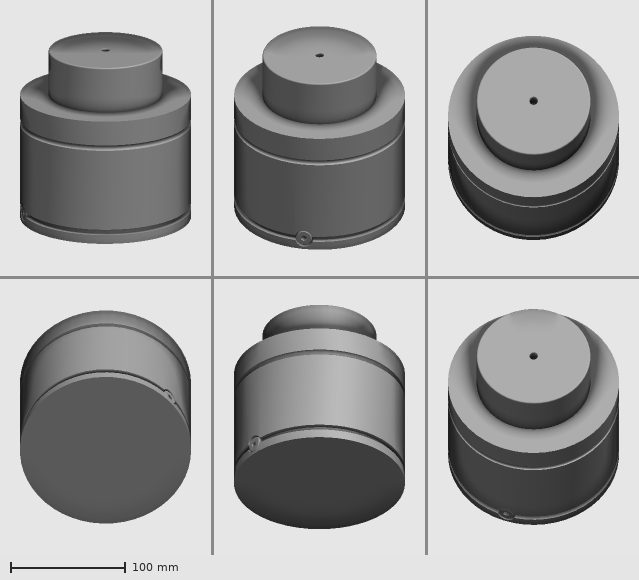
import cadquery as cq
import math

TOTAL_HEIGHT = 154.0
BODY_DIAMETER = 150.0
BODY_HEIGHT = 113.0
ROD_DIAMETER = 100.0
ROD_EDGE_RADIUS = 1.2

ROUND_GROOVE_RADIUS = 2.5
ROUND_GROOVE_HEIGHT = 88.5

SQUARE_GROOVE_WIDTH = 5.0
SQUARE_GROOVE_DEPTH = 4.0
SQUARE_GROOVE_HEIGHT = 10.5

RECESS_DIAMETER = 16.0
RECESS_FLOOR_DISTANCE = 70.0
PLUG_DIAMETER = 14.0
PLUG_FACE_DISTANCE = 74.4
PLUG_CHAMFER = 0.5
SOCKET_ACROSS_FLATS = 5.0
SOCKET_DEPTH = 5.0

ROD_HOLE_DIAMETER = 6.8
ROD_HOLE_MOUTH_DIAMETER = 8.0
ROD_HOLE_DEPTH = 16.0
DRILL_POINT_ANGLE = 118.0

BODY_RADIUS = BODY_DIAMETER / 2


def make_body_and_rod():
    body = cq.Workplane("XY").circle(BODY_RADIUS).extrude(BODY_HEIGHT)
    rod = cq.Workplane("XY").circle(ROD_DIAMETER / 2).extrude(TOTAL_HEIGHT)
    rod = rod.faces(">Z").edges().fillet(ROD_EDGE_RADIUS)
    return body.union(rod)


def make_round_groove():
    profile = cq.Workplane("XZ").center(BODY_RADIUS, ROUND_GROOVE_HEIGHT).circle(ROUND_GROOVE_RADIUS)
    return profile.revolve(360, (-BODY_RADIUS, 0), (-BODY_RADIUS, 1))


def make_square_groove():
    bottom = SQUARE_GROOVE_HEIGHT - SQUARE_GROOVE_WIDTH / 2
    ring = cq.Workplane("XY", origin=(0, 0, bottom))
    ring = ring.circle(BODY_RADIUS).circle(BODY_RADIUS - SQUARE_GROOVE_DEPTH)
    return ring.extrude(SQUARE_GROOVE_WIDTH)


def plane_facing_front(distance):
    """Plane facing -Y at the given distance from the main axis, centred on the plug."""
    return cq.Workplane("XZ", origin=(0, -distance, SQUARE_GROOVE_HEIGHT))


def make_recess():
    recess = plane_facing_front(RECESS_FLOOR_DISTANCE).circle(RECESS_DIAMETER / 2)
    return recess.extrude(BODY_RADIUS - RECESS_FLOOR_DISTANCE)


def make_plug():
    plug = plane_facing_front(RECESS_FLOOR_DISTANCE).circle(PLUG_DIAMETER / 2)
    plug = plug.extrude(PLUG_FACE_DISTANCE - RECESS_FLOOR_DISTANCE)
    return plug.faces("<Y").edges().chamfer(PLUG_CHAMFER)


def make_socket():
    across_corners = SOCKET_ACROSS_FLATS / math.cos(math.pi / 6)
    floor = plane_facing_front(PLUG_FACE_DISTANCE - SOCKET_DEPTH)
    hexagon = floor.transformed(rotate=(0, 0, 90)).polygon(6, across_corners)
    return hexagon.extrude(SOCKET_DEPTH)


def make_rod_hole():
    radius = ROD_HOLE_DIAMETER / 2
    mouth_radius = ROD_HOLE_MOUTH_DIAMETER / 2
    floor = TOTAL_HEIGHT - ROD_HOLE_DEPTH
    point_height = radius / math.tan(math.radians(DRILL_POINT_ANGLE / 2))
    profile = (
        cq.Workplane("XZ")
        .moveTo(0, floor - point_height)
        .lineTo(radius, floor)
        .lineTo(radius, TOTAL_HEIGHT - (mouth_radius - radius))
        .lineTo(mouth_radius, TOTAL_HEIGHT)
        .lineTo(0, TOTAL_HEIGHT)
        .close()
    )
    return profile.revolve(360, (0, 0), (0, 1))


result = make_body_and_rod()
result = result.cut(make_round_groove())
result = result.cut(make_square_groove())
result = result.cut(make_recess())
result = result.union(make_plug())
result = result.cut(make_socket())
result = result.cut(make_rod_hole())